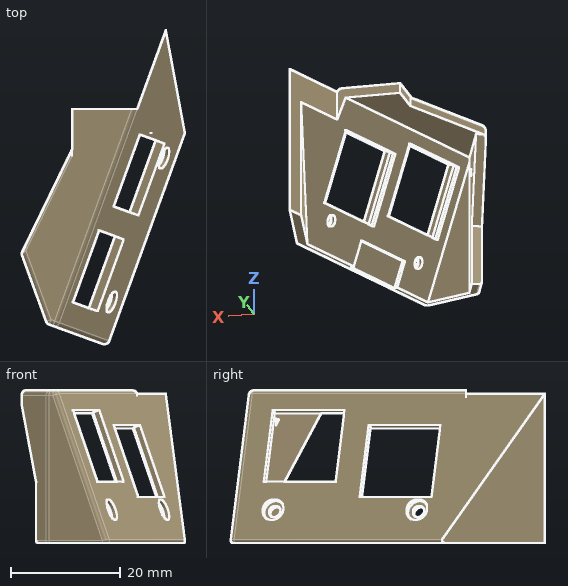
import cadquery as cq
import math

height = 28.0
wall = 1.9
slope_wall = 1.85
edge_radius = 1.0
fine_radius = 0.5
lean = 20
heading = 70
left_wall_heading = 110
corner_x, corner_y = 16.0, -0.35
far_end_bottom = 41.1
far_end_tip = 58.0
plate_end_y = 43.15
plate_notch_x = 9.3
plate_notch_y = 35.8
left_corner_y = 16.65
window_size = 14.0
window_ledge = 1.0
windows = [(5.35, 24.4), (24.4, 21.65)]
screw_positions = [7.8, 35.85]
screw_height = 6.15
screw_diameter = 2.2
counterbore_diameter = 4.0
counterbore_depth = 1.0
recess_start = 11.8
recess_height = 4.7
recess_depth = 0.6
left_wall_end_y = 9.25
trim_low_z = 11.2
trim_run = 8.1
trim_twist = 0.35
clearance = 115.1

lean_tan = math.tan(math.radians(lean))
lean_cos = math.cos(math.radians(lean))
along = cq.Vector(math.cos(math.radians(heading)), math.sin(math.radians(heading)), 0)
inward = cq.Vector(-along.y, along.x, 0)
left_along = cq.Vector(math.cos(math.radians(left_wall_heading)),
                       math.sin(math.radians(left_wall_heading)), 0)
corner = cq.Vector(corner_x, corner_y, 0)
tip_height = height - edge_radius * (1 - math.sin(math.radians(lean)))


def slope_depth(z):
    """Inward distance from the bottom edge to the sloped face at height z."""
    return z * lean_tan


def plan(length, depth):
    """Plan position of a point given along and inward of the housing corner."""
    point = corner + along * length + inward * depth
    return point.x, point.y


def prism(points, top, bottom=0.0):
    """Vertical prism over a plan outline."""
    return cq.Workplane("XY").workplane(offset=bottom).polyline(points).close().extrude(top - bottom)


def lengthwise_prism(profile, start, end):
    """Prism along the housing from a profile of (inward depth, height)."""
    origin = corner + along * start
    plane = cq.Plane(origin=origin.toTuple(), xDir=inward.toTuple(), normal=along.toTuple())
    return cq.Workplane(plane).polyline(profile).close().extrude(end - start)


def slope_plane(length, z):
    """Plane on the sloped face: x along the housing, y up the slope, normal outward."""
    origin = corner + along * length + inward * slope_depth(z) + cq.Vector(0, 0, z)
    up_slope = inward * lean_tan + cq.Vector(0, 0, 1)
    return cq.Plane(origin=origin.toTuple(), xDir=along.toTuple(), normal=along.cross(up_slope).toTuple())


def midpoint(first, second):
    """Point halfway between two plan points."""
    return (first[0] + second[0]) / 2, (first[1] + second[1]) / 2


def rounded(body, points, radius):
    """Round the edges of a body whose centres lie nearest to the points."""
    picked = [body.edges(cq.selectors.NearestToPointSelector(point)).val() for point in points]
    return body.newObject([body.val().fillet(radius, picked)])


left_corner = cq.Vector(0, left_corner_y, 0)
end_offset = (left_corner - corner).dot(along)
left_wall_length = end_offset / -left_along.dot(along)
near_left = left_corner + left_along * left_wall_length
tip_back = slope_depth(tip_height)
far_end_lean = math.atan2(tip_back, far_end_tip - far_end_bottom)


def far_end(depth, inset=0.0):
    """Length along the housing to the far end wall's face, inset square to it."""
    return far_end_bottom + depth / math.tan(far_end_lean) - inset / math.sin(far_end_lean)


def outer_body():
    top_edge = slope_depth(height)
    plate_end_length = (plate_end_y - corner_y - inward.y * top_edge) / along.y
    outline = [
        plan(0, 0),
        plan(far_end(0), 0),
        plan(far_end(top_edge), top_edge),
        plan(plate_end_length, top_edge),
        (plate_notch_x, plate_end_y),
        (plate_notch_x, plate_notch_y),
        (0, left_corner_y),
        (near_left.x, near_left.y),
    ]
    body = prism(outline, height)
    slope_cut = [
        (slope_depth(-wall), -wall),
        (slope_depth(height + wall), height + wall),
        (-clearance, height + wall),
        (-clearance, -wall),
    ]
    body = body.cut(lengthwise_prism(slope_cut, -clearance, clearance))

    middle = height / 2
    main_edges = [
        (*plan(plate_end_length / 2, top_edge), height),
        (*plan(0, slope_depth(middle)), middle),
        (near_left.x, near_left.y, middle),
        (*midpoint(plan(0, top_edge), (near_left.x, near_left.y)), height),
        (*midpoint((near_left.x, near_left.y), (0, left_corner_y)), height),
    ]
    left_side = midpoint((0, left_corner_y), (plate_notch_x, plate_notch_y))
    fine_edges = [
        (*left_side, height),
        (0, left_corner_y, middle),
        (*plan(far_end_bottom / 2, 0), 0),
        (*midpoint(plan(0, 0), (near_left.x, near_left.y)), 0),
        (*midpoint((near_left.x, near_left.y), (0, left_corner_y)), 0),
    ]
    return rounded(rounded(body, main_edges, edge_radius), fine_edges, fine_radius)


def tip_cut():
    """Space behind the tip, past the square end of the top plate."""
    start = (plate_end_y - corner_y - inward.y * tip_back) / along.y
    return prism([
        plan(start, tip_back),
        plan(clearance, tip_back),
        plan(clearance, clearance),
        (-clearance, plate_end_y),
    ], clearance, -clearance)


def cavity():
    inner_shift = slope_wall / lean_cos
    ceiling = height - wall
    left_inner = left_corner + cq.Vector(left_along.y, -left_along.x, 0) * wall
    reach = ((left_inner - corner).dot(along) - wall) / -left_along.dot(along)
    near_inner = left_inner + left_along * reach
    far_inner = left_inner + left_along * (clearance / 2)
    outline = [
        plan(wall, 0),
        plan(far_end(0, wall), 0),
        plan(far_end(tip_back, wall), tip_back),
        plan(far_end(tip_back, wall), clearance),
        (far_inner.x, far_inner.y),
        (near_inner.x, near_inner.y),
    ]
    profile = [
        (slope_depth(-wall) + inner_shift, -wall),
        (slope_depth(ceiling) + inner_shift, ceiling),
        (clearance, ceiling),
        (clearance, -wall),
    ]
    return prism(outline, ceiling, -wall).intersect(lengthwise_prism(profile, -clearance, clearance))


def left_wall_trim():
    """Space that shortens the left wall; its slanted face twists slightly through the wall."""
    start = (left_wall_end_y - left_corner_y) / left_along.y
    ceiling = height - wall
    left_normal = cq.Vector(left_along.y, -left_along.x, 0)
    face = cq.Plane(origin=(left_corner - left_normal * wall).toTuple(),
                    xDir=left_along.toTuple(), normal=left_normal.toTuple())

    def profile(sketch, run):
        return sketch.polyline([
            (start, -wall),
            (start, trim_low_z),
            (start + run, ceiling),
            (clearance, ceiling),
            (clearance, -wall),
        ]).close()

    outer = profile(cq.Workplane(face), trim_run - trim_twist)
    inner = profile(outer.workplane(offset=3 * wall), trim_run + 2 * trim_twist)
    return inner.loft(ruled=True)


def window(start, top_z):
    """Square opening, widened lengthwise on the inside."""
    opening = (cq.Workplane(slope_plane(start, top_z))
               .rect(window_size, -window_size, centered=False)
               .extrude(2 * wall, both=True))
    widened = (cq.Workplane(slope_plane(start - window_ledge, top_z))
               .workplane(offset=-slope_wall + recess_depth)
               .rect(window_size + 2 * window_ledge, -window_size, centered=False)
               .extrude(-2 * wall))
    return opening.union(widened)


def screw_hole(position):
    face = cq.Workplane(slope_plane(position, screw_height))
    bore = face.circle(screw_diameter / 2).extrude(-2 * wall)
    counterbore = face.circle(counterbore_diameter / 2).extrude(-counterbore_depth)
    return bore.union(counterbore)


def inner_recess():
    """Shallow recess low on the inside of the sloped wall, open at the bottom."""
    inner_z = recess_height + slope_wall * math.sin(math.radians(lean))
    return (cq.Workplane(slope_plane(recess_start, inner_z))
            .workplane(offset=-slope_wall + recess_depth)
            .rect(window_size, -window_size, centered=False)
            .extrude(-2 * wall))


result = outer_body().cut(tip_cut()).cut(cavity()).cut(left_wall_trim()).cut(inner_recess())
for start, top_z in windows:
    result = result.cut(window(start, top_z))
for position in screw_positions:
    result = result.cut(screw_hole(position))